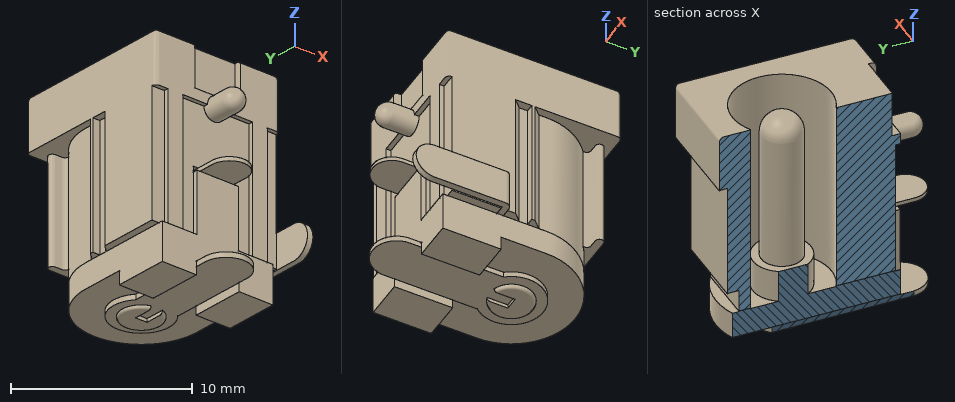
import cadquery as cq
import math


HEIGHT = 14.4
BODY_WIDTH = 9.0
HALF_WIDTH = BODY_WIDTH / 2
BACK_Y = 4.5
FRONT_Y = -6.5
TAIL_Y = -8.71
BASE_TOP = 2.52

CAP_BOTTOM = 10.87
CAP_FILLET = 0.3
BORE_RADIUS = 3.0
BARREL_RADIUS = 4.0
BARREL_FLAT_Y = 3.3

RIB_DEPTH = HALF_WIDTH - BARREL_RADIUS
RIB_RAMP_START_Y = -0.48
RIB_WALL_Y = -1.18
BLOCK_RAMP_START_Y = -1.7

FRONT_RELIEF = 0.3
CORNER_RELIEF_X = 3.6
CENTRE_RELIEF_X = 2.5
NOTCH_WIDTH = 3.3
NOTCH_DEPTH = 0.49
NOTCH_BOTTOM = 11.58

PEG_RADIUS = 0.73
PEG_TIP_Y = -8.5
PEG_ROOT_Y = -5.47

FLANGE_BOTTOM = 3.89
FLANGE_HALF_WIDTH = 3.5
FLANGE_BACK_Y = BARREL_RADIUS
FLANGE_EDGE_RADIUS = 0.26
NECK_RADIUS = 0.26
NECK_CENTRE_X = 2.76
NECK_END_ANGLE = -60
FLANGE_ROOT_X = 2.16
FLANGE_ROOT_Y = 2.52

SLOT_HALF_WIDTH = 1.5
SLOT_TOP = 6.88
SLOT_BACK_Y = -5.5
TONGUE_TOP = 6.52

BASE_RADIUS = BARREL_RADIUS
PLATE_BOTTOM = 0.88
FOOT_BACK_Y = -2.84
CHANNEL_WIDTH = 3.1
SLEEVE_RADIUS = 1.75
SLEEVE_TOP = 4.5

PIN_RADIUS = 1.25
PIN_TOP = 13.88
PIN_TAIL_HALF_WIDTH = 1.51
PIN_DISC_RADIUS = 2.0
PIN_TAIL_THICKNESS = 0.35
PIN_TAIL_BOTTOM = PLATE_BOTTOM - PIN_TAIL_THICKNESS
HEAD_RADIUS = 1.37
HEAD_HEIGHT = 0.23
HEAD_FILLET = 0.2
HEAD_SLOT_WIDTH = 0.82

MIDDLE_HALF_WIDTH = 1.22
MIDDLE_THICKNESS = 0.26
MIDDLE_BOTTOM = (TONGUE_TOP + SLOT_TOP - MIDDLE_THICKNESS) / 2

SIDE_THICKNESS = 0.4
SIDE_GAP = 0.1
SIDE_HALF_WIDTH = 1.17
SIDE_BEND_Y = -2.7
SIDE_LEG_DEPTH = 1.01
SIDE_BEND_RADIUS = 0.39
SIDE_OUTER_X = HALF_WIDTH + SIDE_GAP + SIDE_THICKNESS


def block(x_range, y_range, z_range):
    """Box between two limits along each axis."""
    size = [high - low for low, high in (x_range, y_range, z_range)]
    corner = (x_range[0], y_range[0], z_range[0])
    return cq.Workplane("XY").box(*size, centered=False).translate(corner)


def upright_cylinder(radius, bottom, top):
    """Cylinder on the socket axis."""
    return cq.Workplane("XY").workplane(offset=bottom).circle(radius).extrude(top - bottom)


def rounded_tail(half_width, root_y, bottom, thickness):
    """Flat strip that runs from root_y to a half-round end at TAIL_Y."""
    return (
        cq.Workplane("XY")
        .workplane(offset=bottom)
        .moveTo(-half_width, root_y)
        .lineTo(-half_width, TAIL_Y + half_width)
        .threePointArc((0, TAIL_Y), (half_width, TAIL_Y + half_width))
        .lineTo(half_width, root_y)
        .close()
        .extrude(thickness)
    )


def housing_cap():
    cap = block((-HALF_WIDTH, HALF_WIDTH), (FRONT_Y, BACK_Y), (CAP_BOTTOM, HEIGHT))
    cap = cap.edges("|Z or >Z").fillet(CAP_FILLET)
    notch = block(
        (-NOTCH_WIDTH / 2, NOTCH_WIDTH / 2),
        (FRONT_Y, FRONT_Y + NOTCH_DEPTH),
        (NOTCH_BOTTOM, HEIGHT),
    )
    return cap.cut(notch)


def housing_barrel():
    """Round barrel that widens through two side ribs into a square front block."""
    right_side = [
        (BARREL_RADIUS, RIB_RAMP_START_Y),
        (HALF_WIDTH, RIB_RAMP_START_Y - RIB_DEPTH),
        (HALF_WIDTH, RIB_WALL_Y),
        (BARREL_RADIUS, RIB_WALL_Y),
        (BARREL_RADIUS, BLOCK_RAMP_START_Y),
        (HALF_WIDTH, BLOCK_RAMP_START_Y - RIB_DEPTH),
        (HALF_WIDTH, FRONT_Y),
    ]
    left_side = [(-x, y) for x, y in reversed(right_side)]
    barrel = (
        cq.Workplane("XY")
        .workplane(offset=BASE_TOP)
        .moveTo(-BARREL_RADIUS, 0)
        .threePointArc((0, BARREL_RADIUS), (BARREL_RADIUS, 0))
        .polyline(right_side + left_side, includeCurrent=True)
        .close()
        .extrude(CAP_BOTTOM - BASE_TOP)
    )
    height = (BASE_TOP, CAP_BOTTOM)
    barrel = barrel.cut(
        block((-HALF_WIDTH, HALF_WIDTH), (BARREL_FLAT_Y, BACK_Y), height)
    )
    relief_y = (FRONT_Y, FRONT_Y + FRONT_RELIEF)
    relief_spans = [
        (-HALF_WIDTH, -CORNER_RELIEF_X),
        (-CENTRE_RELIEF_X, CENTRE_RELIEF_X),
        (CORNER_RELIEF_X, HALF_WIDTH),
    ]
    for span in relief_spans:
        barrel = barrel.cut(block(span, relief_y, height))
    return barrel


def back_flange():
    """Flange with full-round side edges, joined to the barrel by a hollow neck."""
    radius = FLANGE_EDGE_RADIUS
    edge_centre_x = FLANGE_HALF_WIDTH - radius
    edge_centre_y = FLANGE_BACK_Y - radius
    inner_y = FLANGE_BACK_Y - 2 * radius
    neck_centre_y = inner_y - NECK_RADIUS
    end_angle = math.radians(NECK_END_ANGLE)
    neck_end_x = NECK_CENTRE_X - NECK_RADIUS * math.cos(end_angle)
    neck_end_y = neck_centre_y + NECK_RADIUS * math.sin(end_angle)
    return (
        cq.Workplane("XY")
        .workplane(offset=FLANGE_BOTTOM)
        .moveTo(-edge_centre_x, FLANGE_BACK_Y)
        .lineTo(edge_centre_x, FLANGE_BACK_Y)
        .threePointArc((FLANGE_HALF_WIDTH, edge_centre_y), (edge_centre_x, inner_y))
        .lineTo(NECK_CENTRE_X, inner_y)
        .threePointArc((NECK_CENTRE_X - NECK_RADIUS, neck_centre_y), (neck_end_x, neck_end_y))
        .lineTo(FLANGE_ROOT_X, FLANGE_ROOT_Y)
        .lineTo(-FLANGE_ROOT_X, FLANGE_ROOT_Y)
        .lineTo(-neck_end_x, neck_end_y)
        .threePointArc((NECK_RADIUS - NECK_CENTRE_X, neck_centre_y), (-NECK_CENTRE_X, inner_y))
        .lineTo(-edge_centre_x, inner_y)
        .threePointArc((-FLANGE_HALF_WIDTH, edge_centre_y), (-edge_centre_x, FLANGE_BACK_Y))
        .close()
        .extrude(CAP_BOTTOM - FLANGE_BOTTOM)
    )


def locating_peg():
    """Round-nosed peg, centred on the lower edge of the cap."""
    nose_centre_y = PEG_TIP_Y + PEG_RADIUS
    shank = (
        cq.Workplane("XZ", origin=(0, PEG_ROOT_Y, CAP_BOTTOM))
        .circle(PEG_RADIUS)
        .extrude(PEG_ROOT_Y - nose_centre_y)
    )
    nose = cq.Workplane("XY").sphere(PEG_RADIUS).translate((0, nose_centre_y, CAP_BOTTOM))
    return shank.union(nose)


def side_leg():
    """Leg of the side terminal that enters the housing wall."""
    return block(
        (HALF_WIDTH - SIDE_LEG_DEPTH, SIDE_OUTER_X),
        (SIDE_BEND_Y - SIDE_THICKNESS, SIDE_BEND_Y),
        (BASE_TOP, BASE_TOP + 2 * SIDE_HALF_WIDTH),
    )


def make_housing():
    housing = housing_cap().union(housing_barrel()).union(back_flange()).union(locating_peg())
    bore = upright_cylinder(BORE_RADIUS, BASE_TOP, HEIGHT)
    tongue_slot = block(
        (-SLOT_HALF_WIDTH, SLOT_HALF_WIDTH), (FRONT_Y, SLOT_BACK_Y), (BASE_TOP, SLOT_TOP)
    )
    return housing.cut(bore).cut(tongue_slot).cut(side_leg())


def make_base():
    """D-shaped plate with front feet, a front tongue and a sleeve around the pin."""
    plate = (
        cq.Workplane("XY")
        .workplane(offset=PLATE_BOTTOM)
        .moveTo(-BASE_RADIUS, FRONT_Y)
        .lineTo(-BASE_RADIUS, 0)
        .threePointArc((0, BASE_RADIUS), (BASE_RADIUS, 0))
        .lineTo(BASE_RADIUS, FRONT_Y)
        .close()
        .extrude(BASE_TOP - PLATE_BOTTOM)
    )
    feet = block((-BASE_RADIUS, BASE_RADIUS), (FRONT_Y, FOOT_BACK_Y), (0, PLATE_BOTTOM))
    channel = block(
        (-CHANNEL_WIDTH / 2, CHANNEL_WIDTH / 2), (FRONT_Y, FOOT_BACK_Y), (0, PLATE_BOTTOM)
    )
    tongue = block(
        (-SLOT_HALF_WIDTH, SLOT_HALF_WIDTH), (FRONT_Y, SLOT_BACK_Y), (BASE_TOP, TONGUE_TOP)
    )
    sleeve = upright_cylinder(SLEEVE_RADIUS, BASE_TOP, SLEEVE_TOP)
    pin_hole = upright_cylinder(PIN_RADIUS, PLATE_BOTTOM, SLEEVE_TOP)
    return plate.union(feet.cut(channel)).union(tongue).union(sleeve).cut(pin_hole)


def make_centre_pin():
    """Round-nosed pin in one piece with its flat terminal and a slotted head below it."""
    nose_centre_z = PIN_TOP - PIN_RADIUS
    shank = upright_cylinder(PIN_RADIUS, PIN_TAIL_BOTTOM, nose_centre_z)
    nose = cq.Workplane("XY").sphere(PIN_RADIUS).translate((0, 0, nose_centre_z))
    disc = upright_cylinder(PIN_DISC_RADIUS, PIN_TAIL_BOTTOM, PLATE_BOTTOM)
    tail = rounded_tail(PIN_TAIL_HALF_WIDTH, 0, PIN_TAIL_BOTTOM, PIN_TAIL_THICKNESS)
    head_bottom = PIN_TAIL_BOTTOM - HEAD_HEIGHT
    head = upright_cylinder(HEAD_RADIUS, head_bottom, PIN_TAIL_BOTTOM)
    head = head.faces("<Z").edges().fillet(HEAD_FILLET)
    head_slot = block(
        (-HEAD_SLOT_WIDTH / 2, HEAD_SLOT_WIDTH / 2),
        (-HEAD_RADIUS, 0),
        (head_bottom, PIN_TAIL_BOTTOM),
    )
    return shank.union(nose).union(disc).union(tail).union(head.cut(head_slot))


def make_middle_terminal():
    return rounded_tail(MIDDLE_HALF_WIDTH, SLOT_BACK_Y, MIDDLE_BOTTOM, MIDDLE_THICKNESS)


def make_side_terminal():
    """Upright tail beside the housing, bent at right angles into its wall."""
    tail = (
        rounded_tail(SIDE_HALF_WIDTH, SIDE_BEND_Y, 0, SIDE_THICKNESS)
        .rotate((0, 0, 0), (0, 1, 0), 90)
        .translate((SIDE_OUTER_X - SIDE_THICKNESS, 0, BASE_TOP + SIDE_HALF_WIDTH))
    )
    terminal = tail.union(side_leg())
    return terminal.edges("|Z and >X and >Y").fillet(SIDE_BEND_RADIUS)


housing = make_housing()
base = make_base()
centre_pin = make_centre_pin()
middle_terminal = make_middle_terminal()
side_terminal = make_side_terminal()

result = cq.Compound.makeCompound(
    [
        housing.val(),
        base.val(),
        centre_pin.val(),
        middle_terminal.val(),
        side_terminal.val(),
    ]
)